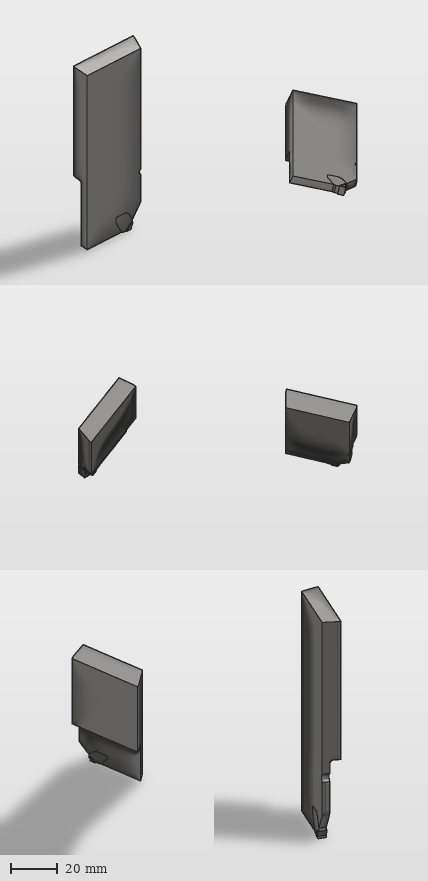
import cadquery as cq

top_z = 110.0
width = 31.1
narrow_width = 28.2
thickness = 8.0
land = 1.3
half_width = width / 2
half_narrow = narrow_width / 2

shoulder_z = 41.5
blade_bottom_z = 1.1
blade_face_x = 4.6
root_radius = 1.4
blade_edge_y = 14.4
flat_end_z = 14.7
nose_y = 9.7
nose_z = 5.6
nose_bend_radius = 5.5

notch_radius = 2.4
notch_floor_y = 13.3
notch_z = 32.8

seat_y = 1.1
seat_z = 12.0
seat_wall_bottom_z = 8.6
body_exit_y = 3.8
seat_corner_radius = 0.9
seat_bend_radius = 1.6
tip_y = 9.1
tip_overhang = 0.3
tip_corner = 0.3
tip_thickness = thickness - blade_face_x + 2 * tip_overhang
tip_start_x = blade_face_x - tip_overhang
tip_end_x = tip_start_x + tip_thickness

rake_root = (8.7, 0.9)
shoulder_low = (nose_y, 3.8)
tip_back_top = (8.6, 4.0)
tip_back_bottom = (6.4, 0.3)
tip_outline = [(tip_y, 0), rake_root, shoulder_low, tip_back_top, tip_back_bottom]
body_outline = [
    (tip_y, 0),
    rake_root,
    shoulder_low,
    (nose_y, nose_z),
    (7.8, 10.1),
    (6.2, seat_z),
    (seat_y, seat_z),
    (seat_y, seat_wall_bottom_z),
    (body_exit_y, blade_bottom_z),
    (4.8, 0.5),
]


def plate(outline, start_x, depth):
    """Extrude a closed (Y, Z) outline along +X from start_x."""
    return cq.Workplane("YZ").workplane(offset=start_x).polyline(outline).close().extrude(depth)


def make_bar():
    section = [
        (0, -half_width),
        (land, -half_width),
        (thickness, -half_narrow),
        (thickness, half_narrow),
        (land, half_width),
        (0, half_width),
    ]
    bar = cq.Workplane("XY").workplane(offset=blade_bottom_z).polyline(section).close()
    return bar.extrude(top_z - blade_bottom_z)


def make_blade_relief():
    """Material removed beside the blade, with a rounded root under the shoulder."""
    relief = cq.Workplane("XY").box(blade_face_x, width, shoulder_z, centered=(False, True, False))
    return relief.edges(">X and >Z").fillet(root_radius)


def make_edge_trim():
    """Material removed from the +Y edge: the flat and the slope down to the insert."""
    outline = [
        (half_width, 0),
        (half_width, notch_z),
        (blade_edge_y, notch_z),
        (blade_edge_y, flat_end_z),
        (nose_y, nose_z),
        (body_exit_y, blade_bottom_z),
        (body_exit_y, 0),
    ]
    trim = plate(outline, 0, thickness)
    bend = cq.selectors.NearestToPointSelector((thickness / 2, blade_edge_y, flat_end_z))
    return trim.edges("|X").edges(bend).fillet(nose_bend_radius)


def make_notch():
    center_y = notch_floor_y + notch_radius
    return cq.Workplane("YZ").center(center_y, notch_z).circle(notch_radius).extrude(thickness)


def make_insert_body():
    body = plate(body_outline, blade_face_x, thickness - blade_face_x)
    mid_x = (blade_face_x + thickness) / 2
    corner = cq.selectors.NearestToPointSelector((mid_x, seat_y, seat_z))
    body = body.edges("|X").edges(corner).fillet(seat_corner_radius)
    bend = cq.selectors.NearestToPointSelector((mid_x, seat_y, seat_wall_bottom_z))
    return body.edges("|X").edges(bend).fillet(seat_bend_radius)


def make_insert_tip():
    """Wider tip whose two lower corners are chamfered across the thickness."""
    tip = plate(tip_outline, tip_start_x, tip_thickness)
    envelope = [
        (tip_start_x + tip_corner, 0),
        (tip_end_x - tip_corner, 0),
        (tip_end_x, tip_corner),
        (tip_end_x, seat_z),
        (tip_start_x, seat_z),
        (tip_start_x, tip_corner),
    ]
    return tip.intersect(cq.Workplane("XZ").polyline(envelope).close().extrude(-half_width))


insert_body = make_insert_body()
insert = insert_body.union(make_insert_tip())

holder = make_bar().cut(make_blade_relief()).cut(make_edge_trim()).cut(make_notch()).cut(insert_body)

result = cq.Compound.makeCompound([holder.solids().val(), insert.solids().val()])